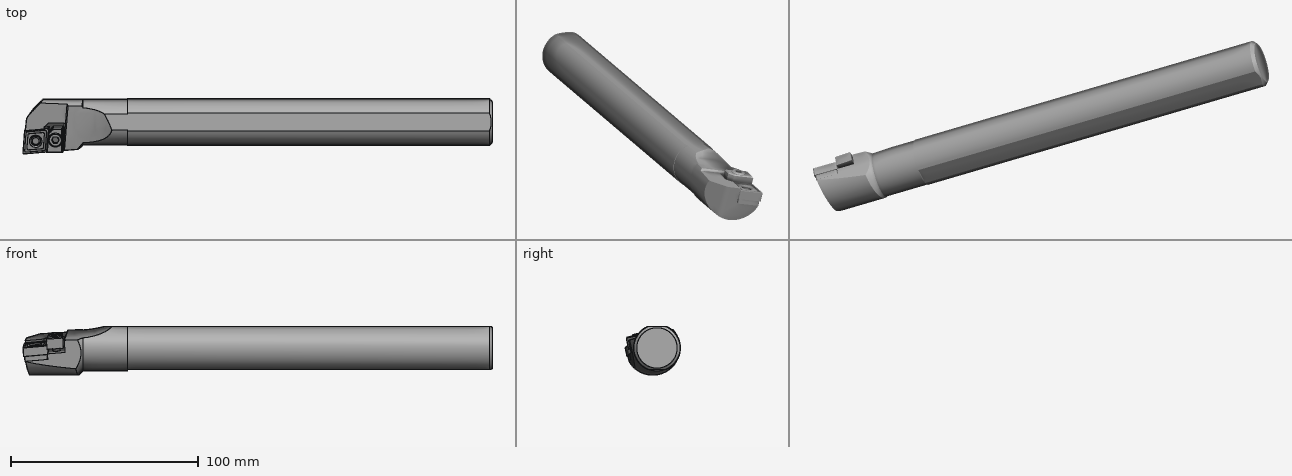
import cadquery as cq
import math


OVERALL_LENGTH = 250.0
SHANK_RADIUS = 12.5
SHANK_FLAT_HEIGHT = 11.5
SHANK_START = 55.8
SHANK_CHAMFER = 1.8
NECK_RADIUS = 12.2

HEAD_RADIUS = 14.5
HEAD_SHIFT = NECK_RADIUS - HEAD_RADIUS
HEAD_END = 32.0
OVERSIZE = 37.5

TIP_OFFSET = 17.0
SIDE_TILT = 12.0
SEAT_RAKE = 4.0
WALL_RAKE = 9.0
EDGE_ANGLE = 5.0

HEAD_OUTLINE = [
    (0.2, 0.62),
    (2.8, 20.0),
    (13.0, 30.5),
    (OVERSIZE, 30.5),
    (OVERSIZE, 2.8),
]
HEAD_BLEND_RADIUS = 5.0

INSCRIBED_CIRCLE = 12.7
INSERT_THICKNESS = 4.8
NOSE_RADIUS = 0.8
INSERT_HOLE_RADIUS = 2.58
COUNTERSINK = 0.8
LAND_WIDTH = 0.88
CHIP_GROOVE_DEPTH = 0.38
ISLAND_INSET = 2.0
NOSE_ANGLE = 90.0 - 2 * EDGE_ANGLE
INSERT_SIDE = INSCRIBED_CIRCLE / math.sin(math.radians(NOSE_ANGLE))
LONG_LEG = INSERT_SIDE * math.cos(math.radians(EDGE_ANGLE))
SHORT_LEG = INSERT_SIDE * math.sin(math.radians(EDGE_ANGLE))
SHARP_CORNER = NOSE_RADIUS - NOSE_RADIUS / math.sin(math.radians(NOSE_ANGLE / 2)) * math.sqrt(0.5)
FAR_CORNER = SHARP_CORNER + LONG_LEG + SHORT_LEG
INSERT_CENTRE = (SHARP_CORNER + FAR_CORNER) / 2
EDGE_SLOPE = math.tan(math.radians(EDGE_ANGLE))
REAR_SIDE = FAR_CORNER * (1 - EDGE_SLOPE)

SHIM_THICKNESS = 2.8
SHIM_INSET = 0.5
PIN_TOP_DEPTH = 0.8
PIN_CHAMFER = 0.8

FRONT_TOP_HEIGHT = 1.12
FRONT_TOP_LENGTH = 21.5
STEP_SLOPE = 0.6
REAR_TOP_TILT = 13.0
REAR_TOP_EDGE = (-15.0, 4.12)
REAR_TOP_START = 22.0
REAR_TOP_CURVE_POINTS = 6
REAR_TOP_END = 55.0
REAR_TOP_RISE = 10.5

WEDGE_FRONT = 1.5
WEDGE_BACK = 14.8
WEDGE_END = 21.5
WEDGE_CORNER = 2.5
WEDGE_BOTTOM = -2.0
WEDGE_TOP = 4.0
WEDGE_CHAMFER = 0.5
WEDGE_POCKET_FLOOR = -4.5
WEDGE_POCKET_END = 22.2
WEDGE_POCKET_BACK = 17.0
WEDGE_POCKET_CORNER = 2.5
SCREW_CENTRE = (17.8, 8.5)
SCREW_HEAD_RADIUS = 3.8
SCREW_HEAD_HEIGHT = 0.8
SCREW_HEAD_CHAMFER = 0.5
SCREW_SHAFT_RADIUS = 2.0
HEX_WIDTH = 4.0
HEX_DEPTH = 2.2


def tilt(body, rake):
    """Move a body from tip coordinates (tip at the origin, insert top on XY) into place."""
    body = body.rotate((0, 0, 0), (1, 0, 0), SIDE_TILT)
    body = body.rotate((0, 0, 0), (0, 1, 0), -rake)
    return body.translate((0, -TIP_OFFSET, 0))


def prism(points, bottom, top):
    return cq.Workplane("XY").workplane(offset=bottom).polyline(points).close().extrude(top - bottom)


def rod(radius, start, end, y=0.0):
    return cq.Workplane("YZ", origin=(start, 0, 0)).center(y, 0).circle(radius).extrude(end - start)


def rhombus(inset, bottom, top):
    """The insert outline, moved inwards by the inset."""
    scale = 1 - inset / (INSCRIBED_CIRCLE / 2)
    half_long = scale * LONG_LEG / 2
    half_short = scale * SHORT_LEG / 2
    near = half_long + half_short
    far = half_long - half_short
    corners = [(-near, -near), (far, -far), (near, near), (-far, far)]
    points = [(INSERT_CENTRE + x, INSERT_CENTRE + y) for x, y in corners]
    return prism(points, bottom, top).edges("|Z").fillet(NOSE_RADIUS)


def insert_axis(body):
    return body.translate((INSERT_CENTRE, INSERT_CENTRE, 0))


def make_insert():
    plate = rhombus(0, -INSERT_THICKNESS, 0)
    groove = rhombus(LAND_WIDTH, -CHIP_GROOVE_DEPTH, 0)
    island = rhombus(ISLAND_INSET, -CHIP_GROOVE_DEPTH, 0)
    hole = cq.Workplane("XY").circle(INSERT_HOLE_RADIUS).extrude(-INSERT_THICKNESS)
    sink = (
        cq.Workplane("XY").circle(INSERT_HOLE_RADIUS + COUNTERSINK)
        .workplane(offset=-COUNTERSINK).circle(INSERT_HOLE_RADIUS).loft()
    )
    plate = plate.cut(groove.cut(island))
    return tilt(plate.cut(insert_axis(hole)).cut(insert_axis(sink)), SEAT_RAKE)


def make_shank():
    shank = rod(SHANK_RADIUS, SHANK_START, OVERALL_LENGTH).faces(">X").chamfer(SHANK_CHAMFER)
    flats = cq.Workplane("XY").box(3 * OVERALL_LENGTH, 3 * SHANK_RADIUS, 2 * SHANK_FLAT_HEIGHT)
    return shank.intersect(flats)


def make_neck():
    neck = rod(NECK_RADIUS, HEAD_END, SHANK_START)
    above_flat = cq.Workplane("XY").box(
        OVERALL_LENGTH, 3 * NECK_RADIUS, NECK_RADIUS, centered=(True, True, False)
    )
    return neck.cut(above_flat.translate((0, 0, SHANK_FLAT_HEIGHT)))


def make_head():
    head = rod(HEAD_RADIUS, -OVERSIZE, HEAD_END, HEAD_SHIFT)
    rear_cone = cq.Workplane(
        cq.Solid.makeCone(
            NECK_RADIUS + OVERSIZE,
            NECK_RADIUS,
            OVERSIZE,
            cq.Vector(HEAD_END - OVERSIZE, 0, 0),
            cq.Vector(1, 0, 0),
        )
    )
    walls = prism(HEAD_OUTLINE, -OVERSIZE, OVERSIZE)
    blend_edge = cq.selectors.NearestToPointSelector((*HEAD_OUTLINE[1], 0))
    walls = tilt(walls.edges("|Z").edges(blend_edge).fillet(HEAD_BLEND_RADIUS), WALL_RAKE)
    return head.intersect(rear_cone).intersect(walls)


def front_top_cut():
    """Flat parallel to the insert top, ending at a sloped step along the insert's side."""
    step_height = OVERSIZE - FRONT_TOP_HEIGHT
    profile = [
        (-OVERSIZE, FRONT_TOP_HEIGHT),
        (FRONT_TOP_LENGTH, FRONT_TOP_HEIGHT),
        (FRONT_TOP_LENGTH + step_height * STEP_SLOPE, OVERSIZE),
        (-OVERSIZE, OVERSIZE),
    ]
    cut = cq.Workplane("XZ").polyline(profile).close().extrude(OVERSIZE, both=True)
    return tilt(cut.rotate((0, 0, 0), (0, 0, 1), -EDGE_ANGLE), SEAT_RAKE)


def rear_top_cut():
    """Face behind the step that starts level and runs out in the top of the neck as a cubic curve."""
    steps = REAR_TOP_CURVE_POINTS
    length = REAR_TOP_END - REAR_TOP_START
    curve = [
        (REAR_TOP_START + length * i / steps, REAR_TOP_RISE * (i / steps) ** 3) for i in range(1, steps + 1)
    ]
    cut = (
        cq.Workplane("XZ").moveTo(REAR_TOP_START, 0)
        .spline(curve, tangents=[(1, 0), (length, 3 * REAR_TOP_RISE)], includeCurrent=True)
        .lineTo(REAR_TOP_END, OVERSIZE).lineTo(-OVERSIZE, OVERSIZE).lineTo(-OVERSIZE, 0).close()
        .extrude(OVERSIZE, both=True)
    )
    y, z = REAR_TOP_EDGE
    return cut.rotate((0, 0, 0), (1, 0, 0), REAR_TOP_TILT).translate((0, y, z))


def insert_pocket():
    """Corner seat open towards the tip, as deep as the insert and the shim."""
    far = FAR_CORNER
    corners = [
        (far, far),
        (far - OVERSIZE * EDGE_SLOPE, far - OVERSIZE),
        (far - OVERSIZE, far - OVERSIZE),
        (far - OVERSIZE, far - OVERSIZE * EDGE_SLOPE),
    ]
    return tilt(prism(corners, -INSERT_THICKNESS - SHIM_THICKNESS, OVERSIZE), SEAT_RAKE)


def wedge_pocket():
    corners = [
        (REAR_SIDE, -OVERSIZE),
        (WEDGE_POCKET_END, -OVERSIZE),
        (WEDGE_POCKET_END, WEDGE_POCKET_BACK),
        (REAR_SIDE + WEDGE_POCKET_CORNER / 2, WEDGE_POCKET_BACK),
        (REAR_SIDE - WEDGE_POCKET_CORNER / 2, WEDGE_POCKET_BACK - WEDGE_POCKET_CORNER),
    ]
    return tilt(prism(corners, WEDGE_POCKET_FLOOR, OVERSIZE), SEAT_RAKE)


def make_shim_and_pin():
    floor = -INSERT_THICKNESS - SHIM_THICKNESS
    shim = rhombus(SHIM_INSET, floor, -INSERT_THICKNESS)
    pin = cq.Workplane("XY").workplane(offset=floor).circle(INSERT_HOLE_RADIUS)
    pin = pin.extrude(-PIN_TOP_DEPTH - floor).faces(">Z").chamfer(PIN_CHAMFER)
    return tilt(shim.union(insert_axis(pin)), SEAT_RAKE)


def make_wedge():
    """Wedge bearing on the insert, held on the pocket floor by its screw; part of the holder."""
    corners = [
        (REAR_SIDE + WEDGE_FRONT * EDGE_SLOPE, WEDGE_FRONT),
        (WEDGE_END, WEDGE_FRONT),
        (WEDGE_END, WEDGE_BACK),
        (REAR_SIDE + WEDGE_BACK * EDGE_SLOPE + WEDGE_CORNER, WEDGE_BACK),
        (REAR_SIDE + WEDGE_BACK * EDGE_SLOPE, WEDGE_BACK - WEDGE_CORNER),
    ]
    wedge = prism(corners, WEDGE_BOTTOM, WEDGE_TOP).faces(">Z").chamfer(WEDGE_CHAMFER)
    axis = cq.Workplane("XY").center(*SCREW_CENTRE)
    shaft = axis.workplane(offset=WEDGE_POCKET_FLOOR).circle(SCREW_SHAFT_RADIUS)
    shaft = shaft.extrude(WEDGE_TOP - WEDGE_POCKET_FLOOR)
    head = axis.workplane(offset=WEDGE_TOP).circle(SCREW_HEAD_RADIUS).extrude(SCREW_HEAD_HEIGHT)
    head = head.faces(">Z").chamfer(SCREW_HEAD_CHAMFER)
    socket = axis.workplane(offset=WEDGE_TOP + SCREW_HEAD_HEIGHT).polygon(6, HEX_WIDTH).extrude(-HEX_DEPTH)
    return tilt(wedge.union(shaft).union(head).cut(socket), SEAT_RAKE)


def make_holder():
    holder = make_shank().union(make_neck()).union(make_head())
    for cut in (front_top_cut(), rear_top_cut(), insert_pocket(), wedge_pocket()):
        holder = holder.cut(cut)
    return holder.union(make_shim_and_pin()).union(make_wedge())


insert = make_insert()
holder = make_holder()

result = cq.Compound.makeCompound([holder.solids().val(), insert.solids().val()])